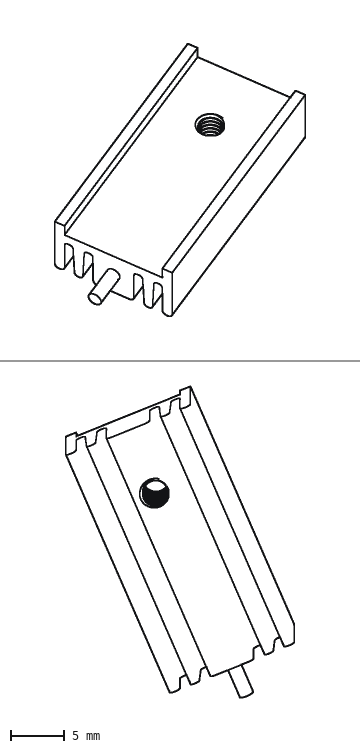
import cadquery as cq
import math

width = 12.6
height = 6.5
length = 25.0
wall_thickness = 1.05
rail_height = 1.3
floor_z = height - rail_height
wall_tip_radius = 0.48
fin_tip_radius = 0.43

block_width = 4.4
slot_top_z = 4.08
slot_root_radius = 0.4
fin_center_x = 3.73
fin_root_width = 1.23
fin_tip_width = 0.88

hole_from_back = 6.67
thread_minor_radius = 1.23
thread_major_diameter = 3.0
thread_major_radius = thread_major_diameter / 2
thread_pitch = thread_major_diameter / 6
thread_flank_angle = 30
thread_root_flat = thread_pitch / 8
thread_start_angle = 170
groove_overlap = 0.05
bore_overrun = 1.15

pin_diameter = 1.37
pin_length = 3.5
pin_z = floor_z / 2

match_tolerance = 0.003

front_y = 0
back_y = front_y + length
wall_inner_x = width / 2 - wall_thickness


def mirrored(points):
    return [(-x, z) for x, z in points]


def along_body(points):
    """Closed XZ outline extruded from the front end to the back end."""
    return cq.Workplane("XZ", origin=(0, back_y, 0)).polyline(points).close().extrude(length)


def slot_outlines():
    """The two slots on the +X side, one on either side of the tapered fin."""
    root = fin_root_width / 2
    tip = fin_tip_width / 2
    inner = [
        (block_width / 2, 0),
        (fin_center_x - tip, 0),
        (fin_center_x - root, slot_top_z),
        (block_width / 2, slot_top_z),
    ]
    outer = [
        (wall_inner_x, 0),
        (fin_center_x + tip, 0),
        (fin_center_x + root, slot_top_z),
        (wall_inner_x, slot_top_z),
    ]
    return [inner, outer]


def lengthwise_edges(body, z):
    return body.edges("|Y").filter(lambda edge: abs(edge.Center().z - z) < match_tolerance)


def is_on_fin(edge):
    return abs(abs(edge.Center().x) - fin_center_x) < fin_root_width / 2


def is_wall_or_block_corner(edge):
    return not is_on_fin(edge)


def make_extrusion():
    body = cq.Workplane("XY").box(width, length, height, centered=(True, False, False))
    body = body.cut(along_body([
        (-wall_inner_x, floor_z),
        (wall_inner_x, floor_z),
        (wall_inner_x, height),
        (-wall_inner_x, height),
    ]))
    for outline in slot_outlines():
        body = body.cut(along_body(outline))
        body = body.cut(along_body(mirrored(outline)))
    body = lengthwise_edges(body, 0).filter(is_on_fin).fillet(fin_tip_radius)
    body = lengthwise_edges(body, 0).filter(is_wall_or_block_corner).fillet(wall_tip_radius)
    return lengthwise_edges(body, slot_top_z).fillet(slot_root_radius)


def make_thread_groove():
    """Right-hand helical V groove about the Z axis, overrunning the block at both ends."""
    turns = math.ceil(floor_z / thread_pitch) + 2
    start_z = floor_z - (turns - 1) * thread_pitch
    inner_radius = thread_minor_radius - groove_overlap
    root_half = thread_root_flat / 2
    flank_rise = (thread_major_radius - inner_radius) * math.tan(math.radians(thread_flank_angle))
    mouth_half = root_half + flank_rise
    path = cq.Wire.makeHelix(thread_pitch, turns * thread_pitch, thread_minor_radius)
    groove = (
        cq.Workplane("XZ")
        .polyline([
            (inner_radius, -mouth_half),
            (thread_major_radius, -root_half),
            (thread_major_radius, root_half),
            (inner_radius, mouth_half),
        ])
        .close()
        .sweep(cq.Workplane(path), isFrenet=True)
    )
    groove = groove.rotate((0, 0, 0), (0, 0, 1), thread_start_angle)
    return groove.translate((0, 0, start_z))


def make_thread_cutter():
    """Bore and groove as one body, longer than the hole at both ends."""
    bore_length = floor_z + 2 * bore_overrun
    bore = cq.Workplane("XY", origin=(0, 0, -bore_overrun)).circle(thread_minor_radius).extrude(bore_length)
    return bore.union(make_thread_groove())


def make_heat_sink():
    hole_y = back_y - hole_from_back
    return make_extrusion().cut(make_thread_cutter().translate((0, hole_y, 0)))


def make_pin():
    """Round pin standing on the front end face of the heat sink."""
    return cq.Workplane("XZ", origin=(0, front_y, pin_z)).circle(pin_diameter / 2).extrude(pin_length)


heat_sink = make_heat_sink()
pin = make_pin()
result = cq.Compound.makeCompound([heat_sink.solids().val(), pin.val()])